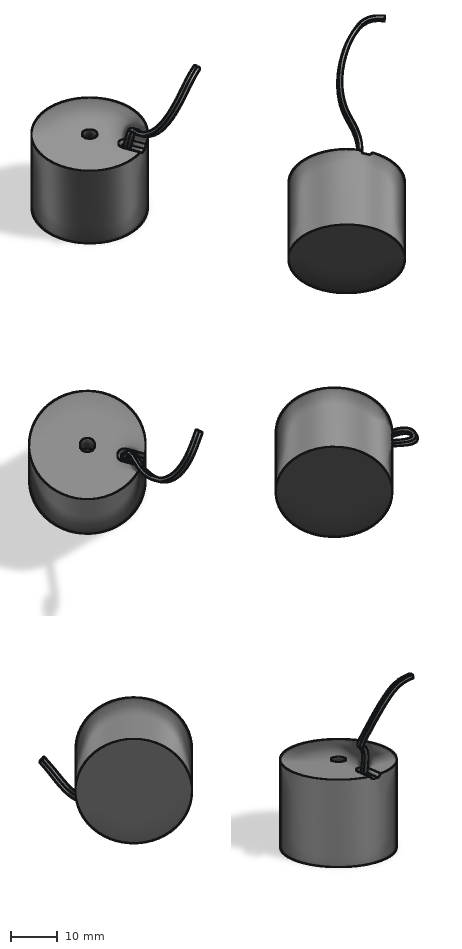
import cadquery as cq
import math

body_diameter = 25.0
body_height = 20.0

hole_diameter = 3.24
hole_depth = 6.0
drill_point_angle = 118.0

slot_floor_width = 1.5
slot_depth = 0.75
slot_end_x = 8.25
slot_floor_z = body_height - slot_depth

wire_diameter = 0.84
wire_spacing = 0.78
cord_root = cq.Vector(8.67, -0.05, slot_floor_z)
cord_bend_start = cq.Vector(9.37, -0.36, 22.2)
cord_bend_points = [
    cq.Vector(13.75, -5.2, 28.3),
    cq.Vector(19.5, -8.4, 33.65),
    cq.Vector(24.1, -6.15, 43.0),
]
cord_tip = cq.Vector(25.05, -0.35, 46.38)
cord_tip_direction = cq.Vector(0.05, 1.0, 0.1)
cord_embed = 0.5


def make_body():
    return cq.Workplane("XY").circle(body_diameter / 2).extrude(body_height)


def make_hole():
    radius = hole_diameter / 2
    point_length = radius / math.tan(math.radians(drill_point_angle / 2))
    profile = (
        cq.Workplane("XZ")
        .moveTo(0, body_height)
        .lineTo(radius, body_height)
        .lineTo(radius, body_height - hole_depth)
        .lineTo(0, body_height - hole_depth - point_length)
        .close()
    )
    return profile.revolve(360, (0, 0, 0), (0, 1, 0))


def make_slot():
    floor_half = slot_floor_width / 2
    top_half = floor_half + slot_depth
    length = body_diameter / 2 - slot_end_x + top_half
    channel = (
        cq.Workplane("YZ", origin=(slot_end_x, 0, slot_floor_z))
        .moveTo(-floor_half, 0)
        .lineTo(floor_half, 0)
        .lineTo(top_half, slot_depth)
        .lineTo(-top_half, slot_depth)
        .close()
        .extrude(length)
    )
    rounded_end = cq.Workplane(
        cq.Solid.makeCone(
            floor_half, top_half, slot_depth, pnt=cq.Vector(slot_end_x, 0, slot_floor_z)
        )
    )
    return channel.union(rounded_end)


def sweep_cord(path_edge, start, direction):
    """Sweep the twin-wire section along an edge, keeping the wires side by side towards +X."""
    side = cq.Vector(1, 0, 0)
    across = (side - direction * side.dot(direction)).normalized()
    section_plane = cq.Plane(origin=start, xDir=across, normal=direction)
    radius = wire_diameter / 2
    half_spacing = wire_spacing / 2
    waist = math.sqrt(radius**2 - half_spacing**2)
    outer = half_spacing + radius
    section = (
        cq.Workplane(section_plane)
        .moveTo(0, waist)
        .threePointArc((outer, 0), (0, -waist))
        .threePointArc((-outer, 0), (0, waist))
        .close()
    )
    path = cq.Workplane(path_edge)
    guide = cq.Workplane(path_edge.translate(side))
    return section.sweep(path, auxSpine=guide)


def make_cord():
    root_direction = (cord_bend_start - cord_root).normalized()
    buried_root = cord_root - root_direction * cord_embed
    straight_edge = cq.Edge.makeLine(buried_root, cord_bend_start)
    curved_edge = cq.Edge.makeSpline(
        [cord_bend_start, *cord_bend_points, cord_tip],
        tangents=[root_direction, cord_tip_direction.normalized()],
    )
    straight_run = sweep_cord(straight_edge, buried_root, root_direction)
    curved_run = sweep_cord(curved_edge, cord_bend_start, root_direction)
    return straight_run.union(curved_run)


result = make_body().cut(make_hole()).cut(make_slot()).union(make_cord())